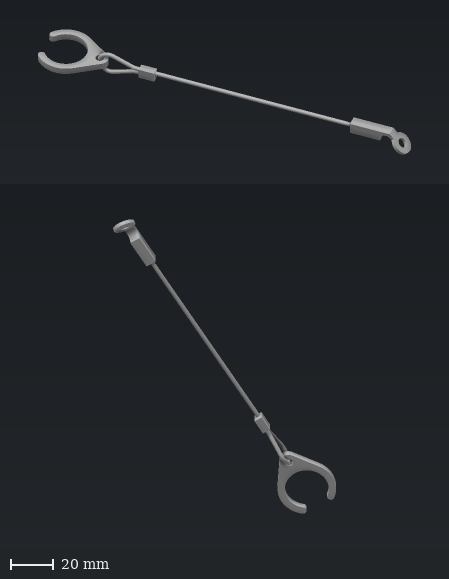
import cadquery as cq
import math

RING_X = 11.0
RING_OUTER_R = 13.64
RING_INNER_R = 10.3
HOOK_THICKNESS = 3.3
EYE_X = 27.8
EYE_R = 2.0
NOSE_R = 4.2
TIP_ANGLE = math.radians(141)

CABLE_R = 1.0
LOOP_R = 5.1
LOOP_X = EYE_X + LOOP_R
LOOP_SLOPE = math.radians(20)
STRAND_Z = 1.1
BEND_SETBACK = 1.0

FERRULE_X = 48.0
FERRULE_LENGTH = 7.9
FERRULE_WIDTH = 3.8
FERRULE_HEIGHT = 5.0

LUG_X = 154.0
LUG_BLOCK_END_X = 169.0
LUG_BEND_X = 173.8
LUG_WIDTH = 5.0
LUG_HEIGHT = 5.5
LUG_TOP_Z = STRAND_Z + LUG_HEIGHT / 2
TONGUE_THICKNESS = 1.6
TONGUE_ANGLE = 45
RELIEF_R = 3.0
LUG_RING_R = 5.3
LUG_HOLE_R = 2.4
END_X = 183.0


def make_hook():
    """Open ring with rounded arm tips, tangent flanks and a pierced nose."""
    eye_offset = EYE_X - RING_X
    flank = math.acos((RING_OUTER_R - NOSE_R) / eye_offset)
    tip_mid_r = (RING_OUTER_R + RING_INNER_R) / 2
    tip_r = (RING_OUTER_R - RING_INNER_R) / 2

    def polar(radius, angle, center_x=0):
        return (center_x + radius * math.cos(angle), radius * math.sin(angle))

    tip_center = polar(tip_mid_r, TIP_ANGLE)
    tip_end = (tip_center[0] - tip_r * math.sin(TIP_ANGLE),
               tip_center[1] + tip_r * math.cos(TIP_ANGLE))
    arc_mid = (flank + TIP_ANGLE) / 2

    def mirror(point):
        return (point[0], -point[1])

    outline = (
        cq.Workplane("XY", origin=(RING_X, 0, -HOOK_THICKNESS / 2))
        .moveTo(*polar(RING_OUTER_R, TIP_ANGLE))
        .threePointArc(polar(RING_OUTER_R, arc_mid), polar(RING_OUTER_R, flank))
        .lineTo(*polar(NOSE_R, flank, eye_offset))
        .threePointArc((eye_offset + NOSE_R, 0), mirror(polar(NOSE_R, flank, eye_offset)))
        .lineTo(*mirror(polar(RING_OUTER_R, flank)))
        .threePointArc(mirror(polar(RING_OUTER_R, arc_mid)), mirror(polar(RING_OUTER_R, TIP_ANGLE)))
        .threePointArc(mirror(tip_end), mirror(polar(RING_INNER_R, TIP_ANGLE)))
        .threePointArc((RING_INNER_R, 0), polar(RING_INNER_R, TIP_ANGLE))
        .threePointArc(tip_end, polar(RING_OUTER_R, TIP_ANGLE))
        .close()
    )
    eye = cq.Workplane("XY", origin=(EYE_X, 0, -HOOK_THICKNESS / 2)).circle(EYE_R).extrude(HOOK_THICKNESS)
    return outline.extrude(HOOK_THICKNESS).cut(eye)


def make_cable():
    """Looped cable from the tail in the ferrule to the lug, with the ferrule clamped on."""
    tangent_x = LOOP_X + LOOP_R * math.sin(LOOP_SLOPE)
    tangent_z = LOOP_R * math.cos(LOOP_SLOPE)
    corner_x = tangent_x + (tangent_z - STRAND_Z) / math.tan(LOOP_SLOPE)
    bend_x = corner_x - BEND_SETBACK * math.cos(LOOP_SLOPE)
    bend_z = STRAND_Z + BEND_SETBACK * math.sin(LOOP_SLOPE)
    straight_x = corner_x + BEND_SETBACK
    tail_x = FERRULE_X + FERRULE_LENGTH / 2

    path = (
        cq.Workplane("XZ")
        .moveTo(tail_x, -STRAND_Z)
        .lineTo(straight_x, -STRAND_Z)
        .tangentArcPoint((bend_x, -bend_z), relative=False)
        .lineTo(tangent_x, -tangent_z)
        .threePointArc((EYE_X, 0), (tangent_x, tangent_z))
        .lineTo(bend_x, bend_z)
        .tangentArcPoint((straight_x, STRAND_Z), relative=False)
        .lineTo(LUG_X, STRAND_Z)
    )
    strand = cq.Workplane("YZ", origin=(tail_x, 0, -STRAND_Z)).circle(CABLE_R).sweep(path)
    ferrule = cq.Workplane("XY").box(
        FERRULE_LENGTH, FERRULE_WIDTH, FERRULE_HEIGHT, centered=(False, True, True)
    ).translate((FERRULE_X, 0, 0))
    return strand.union(ferrule)


def make_lug():
    """Crimp block with a relieved underside and a ring tongue bent downward."""
    flange_z = LUG_TOP_Z - TONGUE_THICKNESS
    bend_inner_x = LUG_BEND_X - TONGUE_THICKNESS * math.tan(math.radians(TONGUE_ANGLE / 2))
    block = (
        cq.Workplane("XZ", origin=(0, LUG_WIDTH / 2, 0))
        .moveTo(LUG_X, LUG_TOP_Z)
        .lineTo(LUG_BEND_X, LUG_TOP_Z)
        .lineTo(bend_inner_x, flange_z)
        .lineTo(LUG_BLOCK_END_X + RELIEF_R, flange_z)
        .radiusArc((LUG_BLOCK_END_X, flange_z - RELIEF_R), -RELIEF_R)
        .lineTo(LUG_BLOCK_END_X, LUG_TOP_Z - LUG_HEIGHT)
        .lineTo(LUG_X, LUG_TOP_Z - LUG_HEIGHT)
        .close()
        .extrude(LUG_WIDTH)
    )
    tongue_length = (END_X - LUG_BEND_X) / math.cos(math.radians(TONGUE_ANGLE))
    ring_offset = tongue_length - LUG_RING_R
    setback = LUG_BEND_X - bend_inner_x
    flat = cq.Workplane("XY", origin=(0, 0, -TONGUE_THICKNESS))
    neck = (
        cq.Workplane("XZ", origin=(0, LUG_WIDTH / 2, 0))
        .polyline([(0, 0), (ring_offset, 0), (ring_offset, -TONGUE_THICKNESS), (setback, -TONGUE_THICKNESS)])
        .close()
        .extrude(LUG_WIDTH)
    )
    ring = flat.center(ring_offset, 0).circle(LUG_RING_R).extrude(TONGUE_THICKNESS)
    hole = flat.center(ring_offset, 0).circle(LUG_HOLE_R).extrude(TONGUE_THICKNESS)
    tongue = neck.union(ring).cut(hole)
    tongue = tongue.rotate((0, 0, 0), (0, 1, 0), TONGUE_ANGLE).translate((LUG_BEND_X, 0, LUG_TOP_Z))
    return block.union(tongue)


hook = make_hook()
cable = make_cable()
lug = make_lug()

result = cq.Compound.makeCompound([hook.val(), cable.val(), lug.val()])